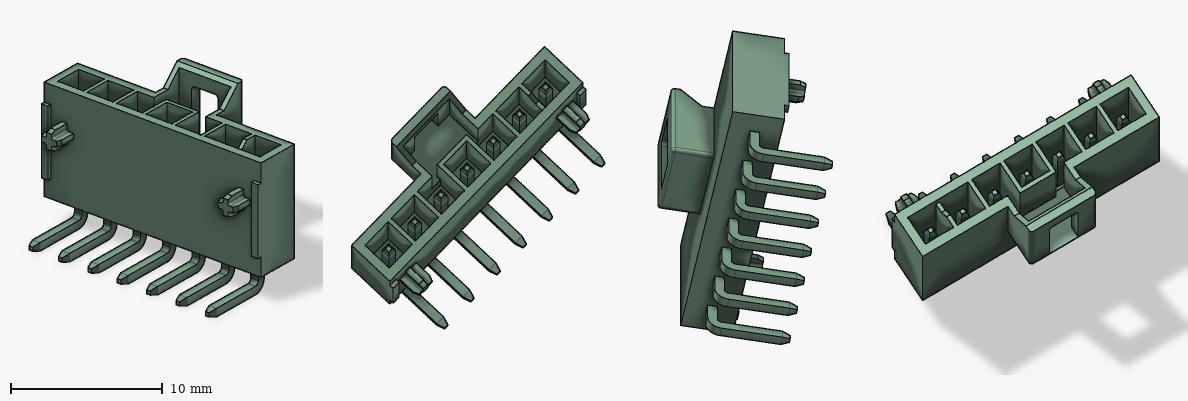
import cadquery as cq
import math


pin_count = 7
pitch = 2.5
pin_xs = [pitch * (i - (pin_count - 1) / 2) for i in range(pin_count)]

body_length = 18.44
body_depth = 3.5
body_height = 8.5
back_y = body_depth / 2
front_y = -body_depth / 2

pocket_size = 2.2
partition = pitch - pocket_size
pocket_floor_z = 2.0

notch_start_y = 0.23
notch_depth = 0.64

latch_width = 5.17
latch_bottom_z = 3.5
latch_floor_z = 3.8
latch_top_z = 9.94
latch_back_y = 4.58
latch_flat = 0.58
latch_side_wall = 0.39
latch_back_wall = 0.85
latch_round = 0.25
window_width = 2.25
window_top_z = 8.67
window_round = 0.3

rib_width = 0.57
rib_depth = 0.3
rib_bottom_z = 1.5
rib_top_z = 7.0

peg_z = 5.28
peg_diameter = 1.6
peg_arm = 0.44
peg_length = 1.62
peg_root_round = 0.18
peg_lead_length = 0.4
peg_lead_inset = 0.16

pin_width = 0.64
pin_top_z = 7.0
pin_bottom_z = -2.22
pin_tail_y = -5.26
pin_inner_bend = 0.3
pin_tip_length = 0.56
pin_tip_width = 0.32


def block(x_range, y_range, z_range):
    """Axis-aligned box between the given (low, high) limits."""
    size = [high - low for low, high in (x_range, y_range, z_range)]
    return cq.Workplane().box(*size, centered=False).translate((x_range[0], y_range[0], z_range[0]))


def make_latch():
    """Solid latch block with a 45 degree slope from its top edge down to the housing top."""
    slope_top_y = latch_back_y - latch_flat
    slope_bottom_y = slope_top_y - (latch_top_z - body_height)
    latch = (
        cq.Workplane("YZ")
        .moveTo(back_y, latch_bottom_z)
        .lineTo(latch_back_y, latch_bottom_z)
        .lineTo(latch_back_y, latch_top_z)
        .lineTo(slope_top_y, latch_top_z)
        .lineTo(slope_bottom_y, body_height)
        .lineTo(back_y, body_height)
        .close()
        .extrude(latch_width / 2, both=True)
    )
    return latch.edges("(|Z and >Y) or (<Z and (not <Y))").fillet(latch_round)


def make_latch_cavity():
    """Space inside the latch, open to the pockets, but leaving the middle pocket's walls."""
    half_width = latch_width / 2 - latch_side_wall
    cavity = block(
        (-half_width, half_width),
        (pocket_size / 2, latch_back_y - latch_back_wall),
        (latch_floor_z, latch_top_z),
    )
    keep = pocket_size / 2 + partition
    return cavity.cut(block((-keep, keep), (-keep, keep), (latch_floor_z, body_height)))


def make_window():
    """Opening through the latch's back wall, rounded at its upper corners."""
    half_width = window_width / 2
    window = block(
        (-half_width, half_width),
        (latch_back_y - latch_back_wall, latch_back_y),
        (latch_floor_z, window_top_z),
    )
    return window.edges("|Y and >Z").fillet(window_round)


def make_notch():
    """Cut in the last partition: a 45 degree slope, then level up to the front wall."""
    notch_x = (pin_xs[-2] + pin_xs[-1]) / 2
    notch_bottom_z = body_height - notch_depth
    return (
        cq.Workplane("YZ", origin=(notch_x, 0, 0))
        .moveTo(notch_start_y, body_height)
        .lineTo(notch_start_y - notch_depth, notch_bottom_z)
        .lineTo(-pocket_size / 2, notch_bottom_z)
        .lineTo(-pocket_size / 2, body_height)
        .close()
        .extrude(partition / 2, both=True)
    )


def make_housing():
    """Housing with latch, pockets and end ribs."""
    half_length = body_length / 2
    housing = block((-half_length, half_length), (front_y, back_y), (0, body_height))
    housing = housing.union(make_latch())
    pockets = (
        cq.Workplane(origin=(0, 0, pocket_floor_z))
        .pushPoints([(x, 0) for x in pin_xs])
        .rect(pocket_size, pocket_size)
        .extrude(body_height - pocket_floor_z)
    )
    housing = housing.cut(pockets).cut(make_latch_cavity()).cut(make_window()).cut(make_notch())
    for rib_left in (-half_length, half_length - rib_width):
        rib = block(
            (rib_left, rib_left + rib_width),
            (front_y - rib_depth, front_y),
            (rib_bottom_z, rib_top_z),
        )
        housing = housing.union(rib)
    return housing


def make_peg(x):
    """Round peg on the front face with a conical lead-in, cut down to a cross section."""
    root = cq.Workplane("XZ", origin=(x, front_y, peg_z))
    cross = root.rect(peg_diameter, peg_arm).extrude(peg_length)
    cross = cross.union(root.rect(peg_arm, peg_diameter).extrude(peg_length))
    inner_corners = cq.selectors.BoxSelector(
        (x - peg_arm, front_y - peg_length, peg_z - peg_arm),
        (x + peg_arm, front_y, peg_z + peg_arm),
    )
    cross = cross.edges("|Y").edges(inner_corners).fillet(peg_root_round)
    round_peg = root.circle(peg_diameter / 2).extrude(peg_length)
    round_peg = round_peg.faces("<Y").chamfer(peg_lead_length, peg_lead_inset)
    return cross.intersect(round_peg)


def make_pin(x):
    """Square pin bent 90 degrees, tapered at both ends."""
    bend = pin_inner_bend + pin_width / 2
    tail_z = pin_bottom_z + pin_width / 2
    shoulder_z = pin_top_z - pin_tip_length
    shoulder_y = pin_tail_y + pin_tip_length
    tip_taper = math.degrees(math.atan2((pin_width - pin_tip_width) / 2, pin_tip_length))
    path = (
        cq.Workplane("YZ", origin=(x, 0, 0))
        .moveTo(0, shoulder_z)
        .lineTo(0, tail_z + bend)
        .tangentArcPoint((-bend, tail_z), relative=False)
        .lineTo(shoulder_y, tail_z)
    )
    top_shoulder = cq.Workplane(origin=(x, 0, shoulder_z))
    tail_shoulder = cq.Workplane("XZ", origin=(x, shoulder_y, tail_z))
    shaft = top_shoulder.rect(pin_width, pin_width).sweep(path)
    top_tip = top_shoulder.rect(pin_width, pin_width).extrude(pin_tip_length, taper=tip_taper)
    tail_tip = tail_shoulder.rect(pin_width, pin_width).extrude(pin_tip_length, taper=tip_taper)
    return shaft.union(top_tip).union(tail_tip)


result = make_housing()
for peg_x in (pin_xs[0], pin_xs[-1]):
    result = result.union(make_peg(peg_x))
for pin_x in pin_xs:
    result = result.union(make_pin(pin_x))